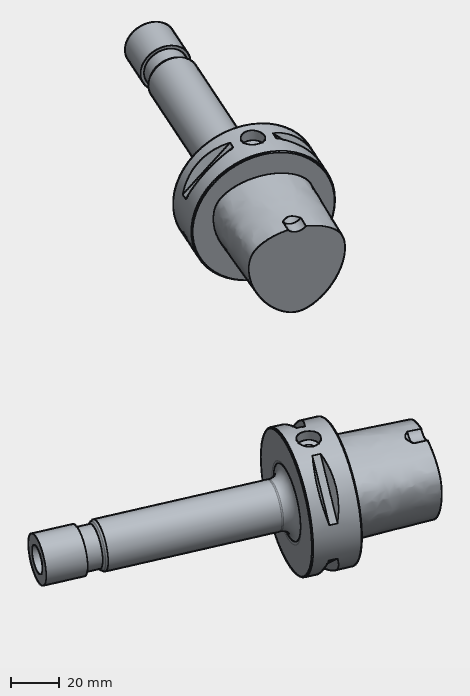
import cadquery as cq
import math

total_length = 168.0
collar_end = 18.0
neck_end = 25.0
shoulder_start = 25.9
shoulder_end = 26.9
arbor_end = 102.1
root_start = 102.8
flange_start = 108.0
flange_end = 129.9
flange_feature_x = 117.8

collar_diameter = 22.0
neck_diameter = 19.0
shoulder_diameter = 20.8
root_diameter = 21.8
flange_diameter = 63.0
flange_chamfer = 0.5

root_radius = 5.5
recess_diameter = 35.3

bore_mouth_diameter = 12.5
bore_mouth_depth = 3.4
bore_diameter = 11.0
bore_taper_length = 0.8
bore_depth = 16.8
drill_half_angle = math.radians(59)

shank_base_radius = 22.0
shank_tip_radius = 21.08
lobe_offset = 1.43
lobe_count = 3
shank_curve_points = 36

slot_radius = 5.0
slot_axis_height = 22.7
slot_length = 6.0

groove_count = 4
groove_floor_radius = 27.9
groove_floor_width = 3.5
groove_half_angle = math.radians(30)

rim_hole_diameter = 10.0
rim_hole_depth = 5.0
dimple_diameter = 4.0


def turned_body():
    """Arbor and flange, revolved about X."""
    collar_r = collar_diameter / 2
    neck_r = neck_diameter / 2
    root_r = root_diameter / 2
    flange_r = flange_diameter / 2
    root_end = root_start + root_radius
    arc_mid_x = root_start + root_radius * math.sin(math.pi / 4)
    arc_mid_r = root_r + root_radius * (1 - math.cos(math.pi / 4))
    profile = (
        cq.Workplane("XY")
        .lineTo(0, collar_r)
        .lineTo(collar_end, collar_r)
        .lineTo(collar_end, neck_r)
        .lineTo(neck_end, neck_r)
        .lineTo(shoulder_start, shoulder_diameter / 2)
        .lineTo(shoulder_end, collar_r)
        .lineTo(arbor_end, collar_r)
        .lineTo(root_start, root_r)
        .threePointArc((arc_mid_x, arc_mid_r), (root_end, root_r + root_radius))
        .lineTo(flange_start, recess_diameter / 2)
        .lineTo(flange_start, flange_r - flange_chamfer)
        .lineTo(flange_start + flange_chamfer, flange_r)
        .lineTo(flange_end - flange_chamfer, flange_r)
        .lineTo(flange_end, flange_r - flange_chamfer)
        .lineTo(flange_end, 0)
        .close()
    )
    return profile.revolve(360, (0, 0, 0), (1, 0, 0))


def lobed_outline(x, mean_radius):
    """Closed constant-width curve at x, with one lobe pointing to -Z."""
    points = []
    for i in range(shank_curve_points):
        angle = 2 * math.pi * i / shank_curve_points
        phase = lobe_count * (angle + math.pi / 2)
        support = mean_radius + lobe_offset * math.cos(phase)
        slope = -lobe_count * lobe_offset * math.sin(phase)
        y = support * math.cos(angle) - slope * math.sin(angle)
        z = support * math.sin(angle) + slope * math.cos(angle)
        points.append(cq.Vector(x, y, z))
    return cq.Wire.assembleEdges([cq.Edge.makeSpline(points, periodic=True)])


def shank():
    base = lobed_outline(flange_end, shank_base_radius)
    tip = lobed_outline(total_length, shank_tip_radius)
    return cq.Workplane(cq.Solid.makeLoft([base, tip], True))


def end_bore():
    mouth_r = bore_mouth_diameter / 2
    bore_r = bore_diameter / 2
    tip_depth = bore_depth + bore_r / math.tan(drill_half_angle)
    return (
        cq.Workplane("XY")
        .lineTo(0, mouth_r)
        .lineTo(bore_mouth_depth, mouth_r)
        .lineTo(bore_mouth_depth + bore_taper_length, bore_r)
        .lineTo(bore_depth, bore_r)
        .lineTo(tip_depth, 0)
        .close()
        .revolve(360, (0, 0, 0), (1, 0, 0))
    )


def drive_slot():
    """Round-bottomed slot open at the shank tip, with a 45 degree conical end."""
    slot_start = total_length - slot_length
    axis_start = (slot_start - slot_radius, slot_axis_height)
    return (
        cq.Workplane("XZ")
        .moveTo(*axis_start)
        .lineTo(slot_start, slot_axis_height - slot_radius)
        .lineTo(total_length, slot_axis_height - slot_radius)
        .lineTo(total_length, slot_axis_height)
        .close()
        .revolve(360, (*axis_start, 0), (total_length, slot_axis_height, 0))
    )


def gripper_groove(angle):
    """Straight V-sided groove across the rim, turned about X by the angle."""
    height = flange_diameter / 2 - groove_floor_radius
    floor_half = groove_floor_width / 2
    mouth_half = floor_half + height * math.tan(groove_half_angle)
    top = flange_diameter / 2
    return (
        cq.Workplane("XZ", origin=(flange_feature_x, 0, 0))
        .moveTo(-floor_half, groove_floor_radius)
        .lineTo(floor_half, groove_floor_radius)
        .lineTo(mouth_half, top)
        .lineTo(-mouth_half, top)
        .close()
        .extrude(flange_diameter / 2, both=True)
        .rotate((0, 0, 0), (1, 0, 0), angle)
    )


def rim_hole():
    rim_plane = cq.Workplane("XY", origin=(flange_feature_x, 0, flange_diameter / 2))
    hole = rim_plane.circle(rim_hole_diameter / 2).extrude(-rim_hole_depth)
    dimple_r = dimple_diameter / 2
    dimple_depth = dimple_r / math.tan(drill_half_angle)
    floor_centre = cq.Vector(flange_feature_x, 0, flange_diameter / 2 - rim_hole_depth)
    dimple = cq.Solid.makeCone(dimple_r, 0, dimple_depth, floor_centre, cq.Vector(0, 0, -1))
    return hole.union(cq.Workplane(dimple))


result = turned_body().union(shank()).cut(end_bore()).cut(drive_slot()).cut(rim_hole())
for index in range(groove_count):
    result = result.cut(gripper_groove(45 + index * 360 / groove_count))